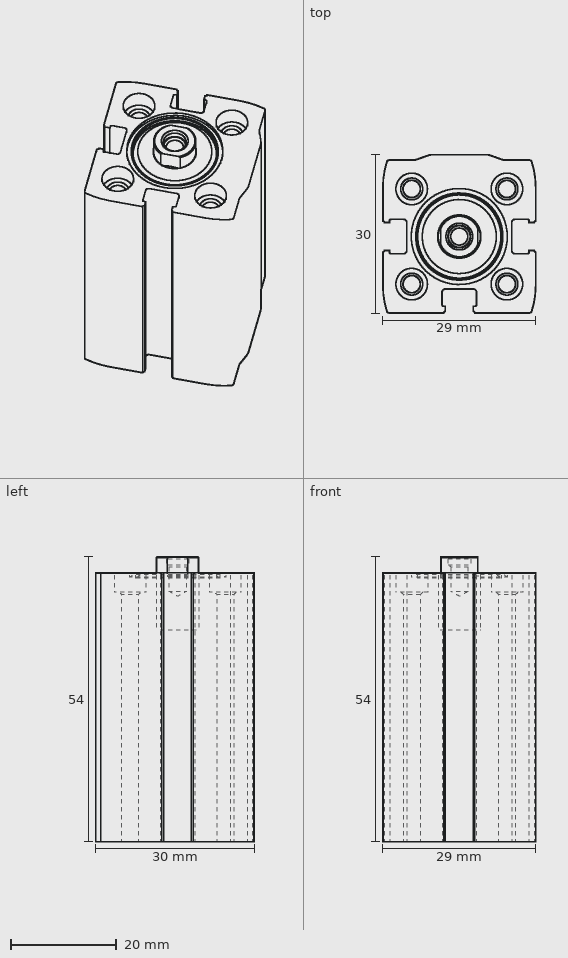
import cadquery as cq
import math

overall_height = 54.0
rod_protrusion = 3.0
housing_height = overall_height - rod_protrusion
width = 29.0
half_width = width / 2

ridge_rise = 1.0
ridge_half_top = 5.5
ridge_half_base = 8.35
ridge_blend_radius = 2.0
side_flat_half = 9.3
side_arc_radius = 16.0
corner_height = half_width
ridge_top = corner_height + ridge_rise
corner_radius = 0.55

slot_neck_half = 5.25 / 2
slot_half = 3.25
slot_neck_depth = 1.3
slot_depth = 4.55
slot_floor_radius = 0.6
slot_ledge_radius = 0.25
slot_lip_radius = 0.3
slot_angles = (0, 180, 270)

hole_spacing = 18.05
hole_diameter = 3.25
hole_chamfer_diameter = 4.15
counterbore_diameter = 6.0
counterbore_depth = 3.6

recess_radius = 18.2 / 2
recess_depth = 0.75
outer_rim_radius = 8.25
groove_radius = 16.0 / 2
groove_floor_radius = 7.9
groove_depth = 0.95
bearing_edge_radius = 7.25
bearing_face_radius = 7.0
bearing_bevel = 0.15
bearing_drop = 0.25
bore_chamfer = 0.1

rod_diameter = 8.0
rod_embedded = 10.8
rod_bottom = housing_height - rod_embedded
rod_length = overall_height - rod_bottom
rod_chamfer = 0.15
rod_flat_half = 3.5
rod_flat_sink = 0.15
rod_flat_end = housing_height - bearing_drop - rod_flat_sink
rod_ledge_drop = 0.25

rod_mouth_radius = 2.55
rod_counterbore_radius = 4.3 / 2
rod_counterbore_length = 1.1
rod_core_mouth_radius = 4.1 / 2
rod_core_radius = 3.25 / 2
rod_core_depth = 6.5
drill_half_angle = 60.0


def housing_blank():
    """Extruded profile with bowed sides and a low ridge along +Y."""
    arc_rise = corner_height - side_flat_half

    def bowed_x(rise):
        return half_width - side_arc_radius + math.sqrt(side_arc_radius**2 - rise**2)

    corner_x = bowed_x(arc_rise)
    middle_x = bowed_x(arc_rise / 2)
    middle_y = side_flat_half + arc_rise / 2
    blank = (
        cq.Workplane("XY")
        .moveTo(-corner_x, -corner_height)
        .lineTo(corner_x, -corner_height)
        .threePointArc((middle_x, -middle_y), (half_width, -side_flat_half))
        .lineTo(half_width, side_flat_half)
        .threePointArc((middle_x, middle_y), (corner_x, corner_height))
        .lineTo(ridge_half_base, corner_height)
        .lineTo(ridge_half_top, ridge_top)
        .lineTo(-ridge_half_top, ridge_top)
        .lineTo(-ridge_half_base, corner_height)
        .lineTo(-corner_x, corner_height)
        .threePointArc((-middle_x, middle_y), (-half_width, side_flat_half))
        .lineTo(-half_width, -side_flat_half)
        .threePointArc((-middle_x, -middle_y), (-corner_x, -corner_height))
        .close()
        .extrude(housing_height)
    )

    for side in (-1, 1):
        vertical_edges = (
            (corner_x, -corner_height, corner_radius),
            (corner_x, corner_height, corner_radius),
            (ridge_half_base, corner_height, ridge_blend_radius),
            (ridge_half_top, ridge_top, ridge_blend_radius),
        )
        for x, y, radius in vertical_edges:
            edge_middle = (side * x, y, housing_height / 2)
            blank = blank.edges(cq.selectors.NearestToPointSelector(edge_middle)).fillet(radius)
    return blank


def slot_cutter():
    """T-shaped slot entering from the +X side, with rounded floor corners and mouth edges."""
    floor_x = half_width - slot_depth
    ledge_x = half_width - slot_neck_depth
    wide_part = (
        cq.Workplane("XY")
        .moveTo((floor_x + ledge_x) / 2, 0)
        .rect(ledge_x - floor_x, 2 * slot_half)
        .extrude(housing_height)
        .edges("|Z and <X")
        .fillet(slot_floor_radius)
        .edges("|Z and >X")
        .fillet(slot_ledge_radius)
    )
    mouth_half = slot_neck_half + slot_lip_radius
    lip_x = half_width - slot_lip_radius
    neck = (
        cq.Workplane("XY")
        .moveTo(ledge_x, -slot_neck_half)
        .lineTo(lip_x, -slot_neck_half)
        .radiusArc((half_width, -mouth_half), -slot_lip_radius)
        .lineTo(half_width, mouth_half)
        .radiusArc((lip_x, slot_neck_half), -slot_lip_radius)
        .lineTo(ledge_x, slot_neck_half)
        .close()
        .extrude(housing_height)
    )
    return wide_part.union(neck)


def mounting_hole_cutter():
    """Through hole with a chamfered edge below a flat-bottomed counterbore."""
    seat_z = housing_height - counterbore_depth
    hole_radius = hole_diameter / 2
    chamfer_radius = hole_chamfer_diameter / 2
    return (
        cq.Workplane("XZ")
        .moveTo(0, 0)
        .lineTo(hole_radius, 0)
        .lineTo(hole_radius, seat_z - (chamfer_radius - hole_radius))
        .lineTo(chamfer_radius, seat_z)
        .lineTo(counterbore_diameter / 2, seat_z)
        .lineTo(counterbore_diameter / 2, housing_height)
        .lineTo(0, housing_height)
        .close()
        .revolve(360, (0, 0), (0, 1))
    )


def bearing_face_cutter():
    """Stepped circular recess in the housing top: two outward-falling cones round a flat face."""
    face_z = housing_height - bearing_drop
    return (
        cq.Workplane("XZ")
        .moveTo(0, housing_height)
        .lineTo(0, face_z)
        .lineTo(bearing_face_radius, face_z)
        .lineTo(bearing_edge_radius, face_z - bearing_bevel)
        .lineTo(groove_floor_radius, housing_height - groove_depth)
        .lineTo(groove_radius, housing_height - groove_depth)
        .lineTo(groove_radius, face_z)
        .lineTo(outer_rim_radius, face_z)
        .lineTo(recess_radius, housing_height - recess_depth)
        .lineTo(recess_radius, housing_height)
        .close()
        .revolve(360, (0, 0), (0, 1))
    )


def rod_bore_cutter():
    """Blind bore that fits the rod, with a chamfered mouth in the bearing face."""
    face_z = housing_height - bearing_drop
    rod_radius = rod_diameter / 2
    return (
        cq.Workplane("XZ")
        .moveTo(0, rod_bottom)
        .lineTo(rod_radius, rod_bottom)
        .lineTo(rod_radius, face_z - bore_chamfer)
        .lineTo(rod_radius + bore_chamfer, face_z)
        .lineTo(0, face_z)
        .close()
        .revolve(360, (0, 0), (0, 1))
    )


def make_housing():
    body = housing_blank()
    for angle in slot_angles:
        body = body.cut(slot_cutter().rotate((0, 0, 0), (0, 0, 1), angle))
    for x in (-hole_spacing / 2, hole_spacing / 2):
        for y in (-hole_spacing / 2, hole_spacing / 2):
            body = body.cut(mounting_hole_cutter().translate((x, y, 0)))
    body = body.cut(bearing_face_cutter())
    return body.cut(rod_bore_cutter())


def threaded_hole_cutter():
    """Countersunk, counterbored hole in the rod end, with a chamfered core and drill-point bottom."""
    mouth_end = overall_height - (rod_mouth_radius - rod_counterbore_radius)
    counterbore_end = mouth_end - rod_counterbore_length
    core_start = counterbore_end - (rod_core_mouth_radius - rod_core_radius)
    core_end = overall_height - rod_core_depth
    tip_z = core_end - rod_core_radius / math.tan(math.radians(drill_half_angle))
    return (
        cq.Workplane("XZ")
        .moveTo(0, overall_height)
        .lineTo(rod_mouth_radius, overall_height)
        .lineTo(rod_counterbore_radius, mouth_end)
        .lineTo(rod_counterbore_radius, counterbore_end)
        .lineTo(rod_core_mouth_radius, counterbore_end)
        .lineTo(rod_core_radius, core_start)
        .lineTo(rod_core_radius, core_end)
        .lineTo(0, tip_z)
        .close()
        .revolve(360, (0, 0), (0, 1))
    )


def rod_flat_cutter():
    """Ring round the rod end, cleared between the flats, above a ledge that falls outward."""
    rod_radius = rod_diameter / 2
    ring = (
        cq.Workplane("XZ")
        .moveTo(rod_flat_half, rod_flat_end)
        .lineTo(rod_radius, rod_flat_end - rod_ledge_drop)
        .lineTo(rod_diameter, rod_flat_end - rod_ledge_drop)
        .lineTo(rod_diameter, overall_height)
        .lineTo(rod_flat_half, overall_height)
        .close()
        .revolve(360, (0, 0), (0, 1))
    )
    kept_slab = cq.Workplane("XY").rect(2 * rod_flat_half, 3 * rod_diameter).extrude(overall_height)
    return ring.cut(kept_slab)


def make_piston_rod():
    rod = (
        cq.Workplane("XY", origin=(0, 0, rod_bottom))
        .circle(rod_diameter / 2)
        .extrude(rod_length)
        .faces(">Z")
        .chamfer(rod_chamfer)
    )
    return rod.cut(rod_flat_cutter()).cut(threaded_hole_cutter())


housing = make_housing()
piston_rod = make_piston_rod()
result = cq.Compound.makeCompound([housing.val(), piston_rod.val()])